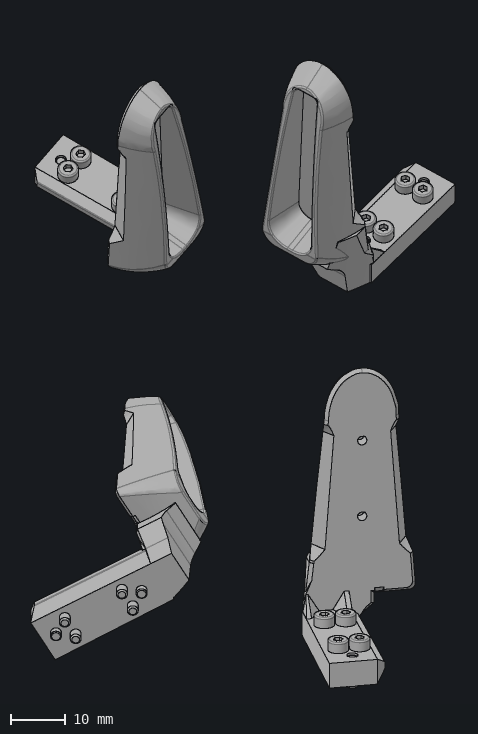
import cadquery as cq
import math


pick_margin = 0.8

bar_height = 4.95
bar_back_y = 11.45
bar_back_y_foot = 11.1
bar_front_y = 2.45
nose_depth = 1.8
nose_low_z = 2.2
nose_high_z = 3.6
nose_round = 0.3

pad_x = 24.5
pad_top_z = 52.06
pad_bottom_z = 7.4
pad_bottom_half = 10.1
pad_shoulder_half = 7.0
pad_shoulder_z = 42.4
side_bulge = 0.2
crown_step = 15
rim_chamfer = 0.7
pad_sections = [
    (pad_x + rim_chamfer, 0.0, 0.0, 0.0, 0.0, 1.2),
    (30.1, 1.3, 1.8, 2.4, 0.15, 2.2),
    (36.0, 4.3, 5.9, 5.6, 2.2, 3.5),
]
crest_top = (30.1, 49.7)
crest_mid = (33.4, 31.5)
crest_low = (35.39, 12.0)
crest_end = (35.2, 8.5)
crest_round = 0.5

cavity_mouth_x = 36.0
cavity_floor_x = 28.0
cavity_draft = 12.0
cavity_top_z = 49.7
cavity_bottom_z = 10.5
cavity_top_half = 3.8
cavity_bottom_half = 5.2
cavity_top_corner = 2.4
cavity_bottom_corner = 4.5
cavity_rim_round = 0.3

pad_hole_diameter = 1.7
pad_hole_depth = 2.5
pad_hole_low_z = 22.95
pad_hole_pitch = 15.0

recess_sections = [
    (14.4, 9.6, 0.45, 10.1),
    (17.0, 6.95, 3.55, 9.05),
    (39.4, 5.3, 2.2, 6.7),
    (41.5, 6.35, 0.6, 7.0),
]
recess_reach = 2.0

foot_top_z = 14.4
foot_bend = (10.4, 8.7)
foot_end_x = 29.6
foot_sweep_start = (30.05, 4.6)
foot_sweep_mid = (30.45, 5.9)
foot_sweep_end = (31.3, 6.9)
foot_tip = (33.2, 8.1)
foot_side_mid = (28.65, 9.4)
foot_side_end = (35.0, 6.0)
foot_top_y = 9.75
foot_front_y = -2.35
foot_front_z = 5.4
foot_knee_z = 2.8
foot_shoulder_z = 7.0
relief_width = 1.7
relief_top_z = 8.6

gusset_length = 3.3
gusset_height = 3.45
gusset_thickness = 0.95
rear_gusset_lean = 0.6
gusset_flare = 2.1

screw_columns_x = (6.0, 18.0)
screw_rows_y = (4.5, 8.5)
screw_diameter = 2.0
screw_tip_z = -2.1
screw_tip_chamfer = 0.3
head_diameter = 3.8
head_height = 2.1
head_round = 0.3
socket_flats = 1.5
socket_depth = 1.0
socket_sides = 6
socket_turn = 30
pin_columns_x = (3.0, 21.0)
pin_y = sum(screw_rows_y) / 2
pin_diameter = 2.0
pin_length = 6.0
pin_tip_z = -1.4
pin_chamfer = 0.2


def polyhedron(faces):
    """Solid bounded by flat faces, each given as a loop of corners."""
    sides = []
    for corners in faces:
        wire = cq.Wire.makePolygon([cq.Vector(*c) for c in corners], close=True)
        sides.append(cq.Face.makeFromWires(wire))
    return cq.Workplane(cq.Solid.makeSolid(cq.Shell.makeShell(sides)))


def make_bar():
    foot_overlap = pad_x + rim_chamfer
    plan = [(0, bar_front_y), (foot_overlap, bar_front_y), (foot_overlap, bar_back_y_foot), (0, bar_back_y)]
    block = cq.Workplane("XY").polyline(plan).close().extrude(bar_height)
    tip_y = bar_front_y - nose_depth
    section = [(bar_front_y, 0), (tip_y, nose_low_z), (tip_y, nose_high_z), (bar_front_y, bar_height)]
    nose = cq.Workplane("YZ").polyline(section).close().extrude(foot_overlap)
    nose = nose.edges("|X and <Y").fillet(nose_round)
    mitre = [(0, bar_front_y), (nose_depth, tip_y), (0, tip_y)]
    nose = nose.cut(cq.Workplane("XY").polyline(mitre).close().extrude(bar_height))
    return block.union(nose)


def pad_outline(x, low_inset, shoulder_inset, top_inset, bottom_inset, corner):
    """Closed outline of the pad in the plane at x, moved inward by the given insets."""
    half_top = pad_shoulder_half - shoulder_inset
    half_low = pad_bottom_half - low_inset
    low_z = pad_bottom_z + bottom_inset
    corner_z = low_z + corner
    corner_y = half_low - corner
    diagonal = corner * math.sqrt(0.5)
    middle_y = (half_top + half_low) / 2 + side_bulge
    middle_z = (pad_shoulder_z + corner_z) / 2
    rise = pad_top_z - top_inset - pad_shoulder_z

    def at(y, z):
        return cq.Vector(x, y, z)

    def crown(start_angle):
        """Quarter of the elliptical top, counterclockwise from start_angle."""
        angles = [math.radians(start_angle + step) for step in range(0, 91, crown_step)]
        points = [at(half_top * math.cos(a), pad_shoulder_z + rise * math.sin(a)) for a in angles]
        ends = [cq.Vector(0, -half_top * math.sin(a), rise * math.cos(a)) for a in (angles[0], angles[-1])]
        return cq.Edge.makeSpline(points, tangents=ends)

    def side(sign):
        ends = [at(sign * half_low, corner_z), at(sign * half_top, pad_shoulder_z)]
        start, end = ends if sign > 0 else reversed(ends)
        return cq.Edge.makeThreePointArc(start, at(sign * middle_y, middle_z), end)

    def low_corner(sign):
        ends = [at(sign * corner_y, low_z), at(sign * half_low, corner_z)]
        start, end = ends if sign > 0 else reversed(ends)
        return cq.Edge.makeThreePointArc(start, at(sign * (corner_y + diagonal), corner_z - diagonal), end)

    base = cq.Edge.makeLine(at(-corner_y, low_z), at(corner_y, low_z))
    return cq.Wire.assembleEdges(
        [side(1), crown(0), crown(90), side(-1), low_corner(-1), base, low_corner(1)]
    )


def make_pad():
    base_section = pad_sections[0]
    face_section = (pad_x, *[rim_chamfer] * 4, base_section[-1])
    rim = cq.Solid.makeLoft([pad_outline(*face_section), pad_outline(*base_section)], True)
    dome = cq.Solid.makeLoft([pad_outline(*section) for section in pad_sections])
    crest = (
        cq.Workplane("XZ")
        .moveTo(pad_x, 0)
        .lineTo(pad_x, pad_top_z + pick_margin)
        .lineTo(crest_top[0], pad_top_z + pick_margin)
        .lineTo(*crest_top)
        .threePointArc(crest_mid, crest_low)
        .lineTo(*crest_end)
        .lineTo(crest_end[0], 0)
        .close()
        .extrude(2 * pad_bottom_half, both=True)
    )
    pad = cq.Workplane(dome).intersect(crest)
    crest_box = cq.selectors.BoxSelector(
        (crest_top[0] - pick_margin / 4, -pad_bottom_half, pad_bottom_z),
        (crest_low[0] + pick_margin, pad_bottom_half, pad_top_z),
    )
    return pad.edges(crest_box).fillet(crest_round).union(cq.Workplane(rim))


def make_cavity():
    mouth = [
        (-cavity_top_half, cavity_top_z),
        (-cavity_bottom_half, cavity_bottom_z),
        (cavity_bottom_half, cavity_bottom_z),
        (cavity_top_half, cavity_top_z),
    ]
    outline = cq.Sketch().polygon([*mouth, mouth[0]])
    outline = outline.vertices("<Y").fillet(cavity_bottom_corner)
    outline = outline.reset().vertices(">Y").fillet(cavity_top_corner)
    plane = cq.Workplane("YZ", origin=(cavity_mouth_x, 0, 0))
    return plane.placeSketch(outline).extrude(cavity_floor_x - cavity_mouth_x, taper=cavity_draft)


def make_recess(sign):
    """Cutter that bevels one long edge of the pad and runs out at both ends."""
    wires = []
    for z, face_half, depth, deep_half in recess_sections:
        slope = depth / (deep_half - face_half)
        out_y = deep_half + recess_reach
        out_x = pad_x + depth + slope * recess_reach
        front_y = face_half - recess_reach / slope
        corners = [
            (pad_x - recess_reach, sign * front_y, z),
            (out_x, sign * out_y, z),
            (pad_x - recess_reach, sign * out_y, z),
        ]
        wires.append(cq.Wire.makePolygon([cq.Vector(*c) for c in corners], close=True))
    return cq.Workplane(cq.Solid.makeLoft(wires, True))


def make_foot():
    knee_y = bar_front_y - nose_depth
    section = [
        (bar_front_y, 0),
        (knee_y, foot_knee_z),
        (foot_front_y, foot_front_z),
        (foot_front_y, foot_top_z),
        (foot_top_y, foot_top_z),
        foot_bend,
        (bar_back_y_foot, foot_shoulder_z),
        (bar_back_y_foot, 0),
    ]
    body = cq.Workplane("YZ", origin=(pad_x, 0, 0)).polyline(section).close().extrude(foot_tip[0] - pad_x)
    near_x = pad_x - pick_margin
    far_x = pad_x + pick_margin
    front_rim = cq.selectors.BoxSelector(
        (near_x, foot_front_y - pick_margin, foot_knee_z),
        (far_x, knee_y, foot_top_z - pick_margin),
    )
    rear_rim = cq.selectors.BoxSelector(
        (near_x, foot_top_y, foot_bend[1]),
        (far_x, foot_bend[0], foot_top_z),
    )
    body = body.edges(front_rim + rear_rim).chamfer(rim_chamfer)
    profile = (
        cq.Workplane("XZ")
        .moveTo(pad_x, 0)
        .lineTo(foot_end_x, 0)
        .lineTo(*foot_sweep_start)
        .threePointArc(foot_sweep_mid, foot_sweep_end)
        .lineTo(*foot_tip)
        .lineTo(foot_sweep_end[0], foot_top_z)
        .lineTo(pad_x, foot_top_z)
        .close()
        .extrude(2 * pad_bottom_half, both=True)
    )
    plan = (
        cq.Workplane("XY")
        .moveTo(pad_x, bar_back_y_foot)
        .threePointArc(foot_side_mid, foot_side_end)
        .lineTo(foot_side_end[0], foot_front_y)
        .lineTo(pad_x, foot_front_y)
        .close()
        .extrude(foot_top_z)
    )
    return body.intersect(profile).intersect(plan)


def make_gusset(outer_y, sign, lean):
    """Corner rib whose flank flares to one side (sign); its back edge leans the same way."""
    inner_y = outer_y + sign * gusset_thickness
    start_x = pad_x - gusset_length
    top_z = bar_height + gusset_height
    a0 = (start_x, outer_y, bar_height)
    a1 = (start_x, inner_y, bar_height)
    b0 = (pad_x, outer_y + sign * lean, top_z)
    b1 = (pad_x, inner_y, top_z)
    c0 = (pad_x, outer_y, bar_height)
    c1 = (pad_x, inner_y + sign * gusset_flare, bar_height)
    return polyhedron([[a0, a1, b1, b0], [a0, b0, c0], [a1, c1, b1], [b0, b1, c1, c0], [a0, c0, c1, a1]])


def make_bracket():
    pad = make_pad()
    for sign in (1, -1):
        pad = pad.cut(make_recess(sign))
    bracket = pad.union(make_foot()).cut(make_cavity())
    mouth_box = cq.selectors.BoxSelector(
        (crest_top[0], -cavity_bottom_half, cavity_bottom_z - pick_margin),
        (crest_low[0] + pick_margin, cavity_bottom_half, cavity_top_z - pick_margin),
    )
    bracket = bracket.edges(mouth_box).fillet(cavity_rim_round)
    bracket = bracket.union(make_bar())
    bracket = bracket.union(make_gusset(bar_front_y, 1, 0))
    bracket = bracket.union(make_gusset(bar_back_y_foot, -1, rear_gusset_lean))
    relief_drop = relief_top_z - pad_bottom_z
    relief = cq.Workplane("XZ", origin=(0, foot_front_y, 0)).moveTo(pad_x, relief_top_z)
    relief = relief.lineTo(pad_x, pad_bottom_z).lineTo(pad_x + relief_drop, pad_bottom_z).close()
    bracket = bracket.cut(relief.extrude(relief_width))
    for hole_z in (pad_hole_low_z, pad_hole_low_z + pad_hole_pitch):
        hole = cq.Workplane("YZ", origin=(pad_x, 0, hole_z))
        bracket = bracket.cut(hole.circle(pad_hole_diameter / 2).extrude(pad_hole_depth))
    drill = cq.Workplane("XY")
    screw_points = [(x, y) for x in screw_columns_x for y in screw_rows_y]
    bracket = bracket.cut(drill.pushPoints(screw_points).circle(screw_diameter / 2).extrude(bar_height))
    pin_points = [(x, pin_y) for x in pin_columns_x]
    return bracket.cut(drill.pushPoints(pin_points).circle(pin_diameter / 2).extrude(bar_height))


def make_screw(x, y):
    shank = cq.Workplane("XY", origin=(x, y, screw_tip_z)).circle(screw_diameter / 2)
    shank = shank.extrude(bar_height - screw_tip_z).faces("<Z").chamfer(screw_tip_chamfer)
    head = cq.Workplane("XY", origin=(x, y, bar_height)).circle(head_diameter / 2).extrude(head_height)
    head = head.faces(">Z").edges().fillet(head_round)
    socket_corners = socket_flats / math.cos(math.pi / socket_sides)
    socket = cq.Workplane("XY", origin=(x, y, bar_height + head_height))
    socket = socket.transformed(rotate=(0, 0, socket_turn))
    return shank.union(head).cut(socket.polygon(socket_sides, socket_corners).extrude(-socket_depth))


def make_pin(x):
    pin = cq.Workplane("XY", origin=(x, pin_y, pin_tip_z)).circle(pin_diameter / 2).extrude(pin_length)
    return pin.faces("<Z or >Z").edges().chamfer(pin_chamfer)


bracket = make_bracket()
screws = [make_screw(x, y) for x in screw_columns_x for y in screw_rows_y]
pins = [make_pin(x) for x in pin_columns_x]

result = cq.Compound.makeCompound(
    [bracket.val()] + [screw.val() for screw in screws] + [pin.val() for pin in pins]
)